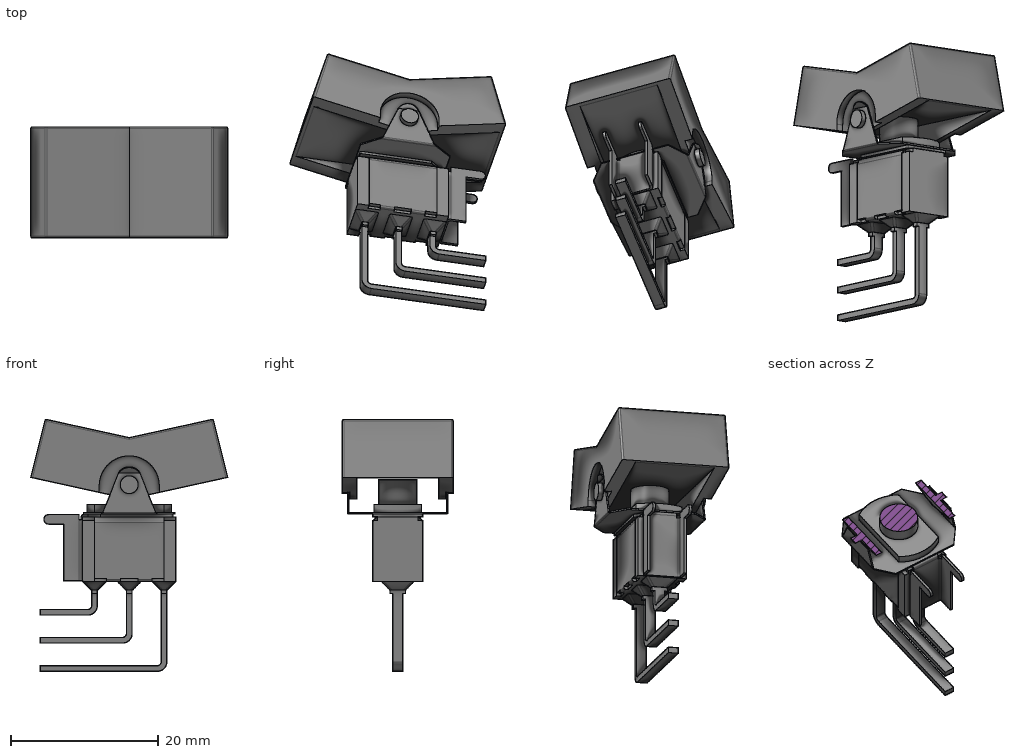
import cadquery as cq
import math


overall_height = 34.27
rocker_length = 26.8
rocker_width = 15.1
rocker_end_z = 26.4
rocker_slope = math.radians(12.4)
rocker_end_lean = math.radians(14)
rocker_round = 0.25
corner_factor = math.cos(rocker_end_lean) + math.sin(rocker_slope)
corner_factor /= math.cos(rocker_end_lean - rocker_slope)
rocker_corner_z = overall_height + rocker_round * (corner_factor - 1)
channel_width = 11.1
channel_top_z = 26.3
recess_diameter = 8.2
recess_centre_z = 25.22
recess_floor_y = 6.5

bracket_thickness = 0.2
bracket_top_z = 21.62
bracket_bottom_z = bracket_top_z - bracket_thickness
bracket_half_length = 6.25
bracket_shoulder_y = 4.8
tab_outer_y = 6.85
tab_inner_y = tab_outer_y - bracket_thickness
tab_base_half = 3.65
tab_tip_half = 1.45
tab_tip_z = 27.05
lip_diameter = 3.2
lip_tilt = 30
pin_diameter = 2.45
pin_z = 25.4

collar_diameter = 11.5
collar_width = 6.5
collar_top_z = 22.72
post_diameter = 5.2
post_top_z = 26.08

body_length = 12.68
body_width = 6.82
body_bottom_z = 12.2
body_top_z = 21.0
core_width = 5.52
panel_length = 9.45
panel_inset = 0.07
panel_width = body_width - 2 * panel_inset
panel_bottom_z = 12.6
panel_top_round = 0.75
corner_post_top_z = 20.5
pad_inner_x = 1.15
pad_outer_x = 3.12
pad_round = 0.3

frame_thickness = 0.38
frame_top_z = bracket_bottom_z
frame_rear_x = 5.95
frame_rear_round = 0.15
frame_taper_start_x = -3.95
frame_taper_end_x = -5.6
strap_half = 2.02
strap_bend = 0.5
arm_outer_y = core_width / 2
arm_inner_y = arm_outer_y - frame_thickness
arm_bend_inner = 0.25
arm_bend_outer = arm_bend_inner + frame_thickness
arm_root_x = -6.82
arm_leg_x = -8.9
arm_tip_x = -11.62
arm_top_z = 21.35
arm_bottom_z = 12.3
finger_height = 1.35
yoke_face_x = arm_root_x + arm_bend_inner
yoke_back_x = arm_root_x + arm_bend_outer

lead_pitch = 4.73
lead_end_x = -12.13
lead_bottoms = {-lead_pitch: 7.65, 0: 3.85, lead_pitch: 0}
lead_thickness = 0.8
lead_width = 1.4
lead_bend_inner = 0.5
lead_bend_outer = lead_bend_inner + lead_thickness
shoulder_width = 2.15
shoulder_bottom_z = 10.6
seal_length = 3.2
seal_width = 4.4
seal_bottom_z = 11.1
seal_taper = 45
seal_edge_round = 0.4


def block(x_range, y_range, z_range):
    """Box given by its two limits along each axis."""
    size = [end - start for start, end in (x_range, y_range, z_range)]
    corner = (x_range[0], y_range[0], z_range[0])
    return cq.Workplane("XY").box(*size, centered=False).translate(corner)


def centred_block(length, width, bottom_z, top_z):
    """Box centred on the Z axis."""
    return block((-length / 2, length / 2), (-width / 2, width / 2), (bottom_z, top_z))


def side_plate(sketch, start_y, end_y):
    """Extrude an XZ outline from start_y to end_y (end_y is the lower value)."""
    return sketch.extrude(start_y - end_y).translate((0, start_y, 0))


def both_sides(shape):
    """Shape together with its mirror image across the XZ plane."""
    return shape.union(shape.mirror("XZ"))


def make_rocker():
    half_length = rocker_length / 2
    corner_x = half_length - (rocker_corner_z - rocker_end_z) * math.tan(rocker_end_lean)
    valley_z = rocker_corner_z - corner_x * math.tan(rocker_slope)
    keel_z = rocker_end_z - half_length * math.tan(rocker_slope)
    outline = (
        cq.Workplane("XZ")
        .moveTo(0, keel_z)
        .lineTo(half_length, rocker_end_z)
        .lineTo(corner_x, rocker_corner_z)
        .lineTo(0, valley_z)
        .close()
    )
    half = side_plate(outline, rocker_width / 2, -rocker_width / 2)
    rounded_edges = cq.selectors.BoxSelector(
        (rocker_round, -rocker_width, rocker_end_z + rocker_round),
        (rocker_length, rocker_width, rocker_corner_z + rocker_round),
    )
    half = half.edges(rounded_edges).fillet(rocker_round)
    rocker = half.union(half.mirror("YZ"))
    rocker = rocker.cut(centred_block(rocker_length, channel_width, 0, channel_top_z))

    recess_radius = recess_diameter / 2
    recess = (
        cq.Workplane("XZ")
        .moveTo(-recess_radius, 0)
        .lineTo(-recess_radius, recess_centre_z)
        .threePointArc((0, recess_centre_z + recess_radius), (recess_radius, recess_centre_z))
        .lineTo(recess_radius, 0)
        .close()
    )
    return rocker.cut(both_sides(side_plate(recess, -recess_floor_y, -rocker_width)))


def make_bracket():
    base_outline = [
        (-bracket_half_length, -bracket_shoulder_y),
        (-tab_base_half, -tab_outer_y),
        (tab_base_half, -tab_outer_y),
        (bracket_half_length, -bracket_shoulder_y),
        (bracket_half_length, bracket_shoulder_y),
        (tab_base_half, tab_outer_y),
        (-tab_base_half, tab_outer_y),
        (-bracket_half_length, bracket_shoulder_y),
    ]
    base = cq.Workplane("XY").polyline(base_outline).close().extrude(bracket_thickness)
    base = base.translate((0, 0, bracket_bottom_z))

    tab_outline = cq.Workplane("XZ").polyline([
        (-tab_base_half, bracket_bottom_z),
        (tab_base_half, bracket_bottom_z),
        (tab_tip_half, tab_tip_z),
        (-tab_tip_half, tab_tip_z),
    ]).close()
    tab = side_plate(tab_outline, -tab_inner_y, -tab_outer_y)

    lip_radius = lip_diameter / 2
    lip_height = lip_radius - math.sqrt(lip_radius**2 - tab_tip_half**2)
    lip = (
        cq.Workplane("XZ")
        .moveTo(-tab_tip_half, 0)
        .threePointArc((0, lip_height), (tab_tip_half, 0))
        .close()
        .extrude(bracket_thickness)
        .rotate((0, 0, 0), (1, 0, 0), lip_tilt)
        .translate((0, -tab_inner_y, tab_tip_z))
    )
    pin = cq.Workplane("XZ").center(0, pin_z).circle(pin_diameter / 2)
    pin = side_plate(pin, -recess_floor_y, -rocker_width / 2)
    bracket = base.union(both_sides(tab))
    bracket = bracket.edges("|X and <Z").fillet(bracket_thickness)
    return bracket.union(both_sides(lip.union(pin)))


def make_collar_and_post():
    collar = cq.Workplane("XY").workplane(offset=bracket_bottom_z).circle(collar_diameter / 2)
    collar = collar.extrude(collar_top_z - bracket_bottom_z)
    collar = collar.intersect(centred_block(collar_diameter, collar_width, 0, collar_top_z))
    post = cq.Workplane("XY").workplane(offset=bracket_bottom_z).circle(post_diameter / 2)
    return collar.union(post.extrude(post_top_z - bracket_bottom_z))


def make_body():
    core = centred_block(body_length, core_width, body_bottom_z, body_top_z)
    panel = centred_block(panel_length, panel_width, panel_bottom_z, body_top_z)
    panel = panel.edges("|X and >Z").fillet(panel_top_round)
    body = core.union(panel)

    for span in [(-pad_outer_x, -pad_inner_x), (pad_inner_x, pad_outer_x)]:
        pad = block(
            span, (-panel_width / 2, panel_width / 2), (body_bottom_z, body_top_z - panel_top_round)
        )
        body = body.union(pad.edges("|X and <Z").fillet(pad_round))

    panel_end = panel_length / 2
    for span in [(-body_length / 2, -panel_end), (panel_end, body_length / 2)]:
        corner_posts = block(
            span, (-body_width / 2, body_width / 2), (body_bottom_z, corner_post_top_z)
        )
        body = body.union(corner_posts)
    return body


def make_frame():
    top_outline = [
        (yoke_face_x, -strap_half),
        (frame_taper_end_x, -strap_half),
        (frame_taper_start_x, -body_width / 2),
        (frame_rear_x, -body_width / 2),
        (frame_rear_x, body_width / 2),
        (frame_taper_start_x, body_width / 2),
        (frame_taper_end_x, strap_half),
        (yoke_face_x, strap_half),
    ]
    top = cq.Workplane("XY").polyline(top_outline).close().extrude(frame_top_z - body_top_z)
    top = top.edges("|Z and >X").fillet(frame_rear_round).translate((0, 0, body_top_z))
    strap = block((yoke_face_x, yoke_back_x), (-strap_half, strap_half), (arm_bottom_z, frame_top_z))
    top = top.union(strap).edges("|Y and <X and >Z").fillet(strap_bend)

    bend_start_y = arm_outer_y - arm_bend_outer
    diagonal = math.sqrt(0.5)
    yoke = (
        cq.Workplane("XY")
        .moveTo(yoke_back_x, 0)
        .lineTo(yoke_back_x, bend_start_y)
        .threePointArc(
            (arm_root_x + arm_bend_outer * diagonal, bend_start_y + arm_bend_outer * diagonal),
            (arm_root_x, arm_outer_y),
        )
        .lineTo(arm_root_x, arm_inner_y)
        .threePointArc(
            (arm_root_x + arm_bend_inner * diagonal, bend_start_y + arm_bend_inner * diagonal),
            (yoke_face_x, bend_start_y),
        )
        .lineTo(yoke_face_x, 0)
        .close()
        .extrude(body_top_z - frame_thickness - arm_bottom_z)
        .translate((0, 0, arm_bottom_z))
    )

    finger_radius = finger_height / 2
    arm_outline = (
        cq.Workplane("XZ")
        .moveTo(arm_root_x, arm_bottom_z)
        .lineTo(arm_root_x, arm_top_z)
        .lineTo(arm_tip_x + finger_radius, arm_top_z)
        .threePointArc(
            (arm_tip_x, arm_top_z - finger_radius),
            (arm_tip_x + finger_radius, arm_top_z - finger_height),
        )
        .lineTo(arm_leg_x, arm_top_z - finger_height)
        .lineTo(arm_leg_x, arm_bottom_z)
        .close()
    )
    arm = side_plate(arm_outline, -arm_inner_y, -arm_outer_y)
    return top.union(both_sides(yoke)).union(both_sides(arm))


def make_lead(lead_x, lead_bottom_z):
    left_x = lead_x - lead_thickness / 2
    right_x = lead_x + lead_thickness / 2
    outline = (
        cq.Workplane("XZ")
        .moveTo(left_x, seal_bottom_z)
        .lineTo(left_x, lead_bottom_z + lead_bend_outer)
        .radiusArc((left_x - lead_bend_inner, lead_bottom_z + lead_thickness), lead_bend_inner)
        .lineTo(lead_end_x, lead_bottom_z + lead_thickness)
        .lineTo(lead_end_x, lead_bottom_z)
        .lineTo(right_x - lead_bend_outer, lead_bottom_z)
        .radiusArc((right_x, lead_bottom_z + lead_bend_outer), -lead_bend_outer)
        .lineTo(right_x, seal_bottom_z)
        .close()
    )
    lead = side_plate(outline, lead_width / 2, -lead_width / 2)
    shoulder = centred_block(lead_thickness, shoulder_width, shoulder_bottom_z, seal_bottom_z)
    seal = (
        cq.Workplane("XY")
        .rect(seal_length, seal_width)
        .extrude(seal_bottom_z - body_bottom_z, taper=seal_taper)
        .edges("not (|X or |Y)")
        .fillet(seal_edge_round)
        .translate((0, 0, body_bottom_z))
    )
    return lead.union(shoulder.union(seal).translate((lead_x, 0, 0)))


result = make_body().union(make_frame()).union(make_bracket())
result = result.union(make_collar_and_post()).union(make_rocker())
for lead_x, lead_bottom_z in lead_bottoms.items():
    result = result.union(make_lead(lead_x, lead_bottom_z))